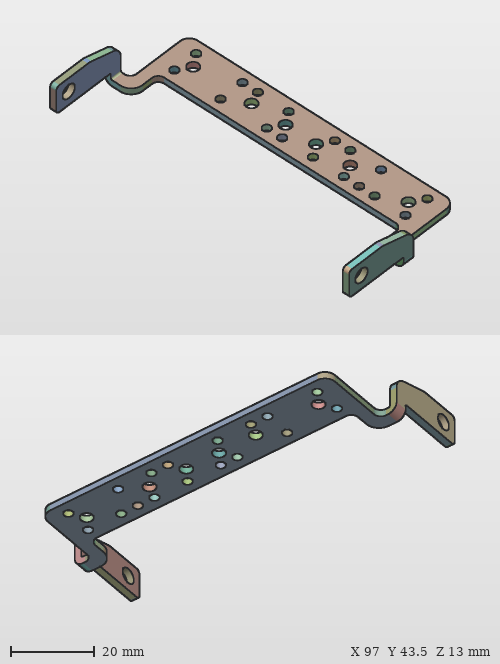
import cadquery as cq
import math

overall_width = 97.0
overall_depth = 43.5
overall_height = 13.0
thickness = 2.0

plate_width = 86.5
plate_depth = 14.9
arm_width = 3.7
foot_back = 20.5
foot_front = 24.1
back_corner_radius = 3.0
inner_corner_radius = 2.0
foot_inside_radius = 2.0
foot_outside_radius = 3.8

bend_inside_radius = 0.5
bend_outside_radius = bend_inside_radius + thickness
ear_bottom = 4.1
ear_tip_radius = 1.2
ear_notch_radius = 0.5
ear_shoulder_radius = 3.9
ear_slope = math.radians(15)
ear_knee_y = 31.5
ear_knee_radius = 4.85
ear_hole_diameter = 4.4
ear_hole_from_tip = 4.5

small_hole_diameter = 2.5
small_hole_span = 75.0
pitches_in_span = 15
small_hole_pitch = small_hole_span / pitches_in_span
small_row_offset = 3.9
back_row_steps = [-7.5, -4.5, -3.5, -1.5, 1.5, 2.5, 4.5, 7.5]
front_row_steps = [-7.5, -4.5, -1.5, -0.5, 1.5, 3.5, 4.5, 5.5, 7.5]
large_hole_diameter = 3.4
large_hole_offsets = [4.9, 16.0, 34.9]

half_width = overall_width / 2
half_plate = plate_width / 2
half_opening = half_plate - arm_width
plate_middle_y = -plate_depth / 2


def round_edges(body, direction, y, across, radius):
    """Fillet the edges parallel to X or Z at Y = y and at the given X or Z position."""
    reach = 0.05
    if direction == "Z":
        low = (across - reach, y - reach, -reach)
        high = (across + reach, y + reach, thickness + reach)
    else:
        low = (-half_width - reach, y - reach, across - reach)
        high = (-half_width + thickness + reach, y + reach, across + reach)
    return body.edges(cq.selectors.BoxSelector(low, high, boundingbox=True)).fillet(radius)


def make_plate():
    """Plate, arms and feet, with the feet reaching to the start of the bends."""
    foot_end = half_width - bend_outside_radius
    right_half = [
        (half_plate, 0),
        (half_plate, -foot_back),
        (foot_end, -foot_back),
        (foot_end, -foot_front),
        (half_opening, -foot_front),
        (half_opening, -plate_depth),
    ]
    left_half = [(-x, y) for x, y in reversed(right_half)]
    plate = cq.Workplane("XY").polyline(right_half + left_half).close().extrude(thickness)
    for side in (-1, 1):
        plate = round_edges(plate, "Z", 0, side * half_plate, back_corner_radius)
        plate = round_edges(plate, "Z", -plate_depth, side * half_opening, inner_corner_radius)
        plate = round_edges(plate, "Z", -foot_back, side * half_plate, foot_inside_radius)
        plate = round_edges(plate, "Z", -foot_front, side * half_opening, foot_outside_radius)
    return plate


def drill_plate(plate):
    """Two rows of small holes and a middle row of large holes."""
    back_row = [(n * small_hole_pitch, plate_middle_y + small_row_offset) for n in back_row_steps]
    front_row = [(n * small_hole_pitch, plate_middle_y - small_row_offset) for n in front_row_steps]
    middle_row = [(side * x, plate_middle_y) for x in large_hole_offsets for side in (-1, 1)]
    for points, diameter in ((back_row + front_row, small_hole_diameter), (middle_row, large_hole_diameter)):
        holes = cq.Workplane("XY").pushPoints(points).circle(diameter / 2).extrude(thickness)
        plate = plate.cut(holes)
    return plate


def make_bend():
    """Quarter-ring bend joining the left foot to its ear."""
    center_x = -half_width + bend_outside_radius
    center_z = bend_outside_radius
    diagonal = math.sqrt(0.5)
    outer_middle = bend_outside_radius * diagonal
    inner_middle = bend_inside_radius * diagonal
    return (
        cq.Workplane("XZ", origin=(0, -foot_back, 0))
        .moveTo(center_x, 0)
        .threePointArc((center_x - outer_middle, center_z - outer_middle), (-half_width, center_z))
        .lineTo(-half_width + thickness, center_z)
        .threePointArc((center_x - inner_middle, center_z - inner_middle), (center_x, thickness))
        .close()
        .extrude(foot_front - foot_back)
    )


def make_ear():
    """Left upright ear with sloped top edge and a hole near its tip."""
    shoulder_height = overall_height - (ear_knee_y - foot_back) * math.tan(ear_slope)
    outline = [
        (-foot_back, bend_outside_radius),
        (-foot_back, shoulder_height),
        (-ear_knee_y, overall_height),
        (-overall_depth, overall_height),
        (-overall_depth, ear_bottom),
        (-foot_front, ear_bottom),
        (-foot_front, bend_outside_radius),
    ]
    ear = cq.Workplane("YZ", origin=(-half_width, 0, 0)).polyline(outline).close().extrude(thickness)
    ear = round_edges(ear, "X", -foot_back, shoulder_height, ear_shoulder_radius)
    ear = round_edges(ear, "X", -ear_knee_y, overall_height, ear_knee_radius)
    ear = round_edges(ear, "X", -overall_depth, overall_height, ear_tip_radius)
    ear = round_edges(ear, "X", -overall_depth, ear_bottom, ear_tip_radius)
    ear = round_edges(ear, "X", -foot_front, ear_bottom, ear_notch_radius)
    hole_y = -overall_depth + ear_hole_from_tip
    hole_z = (ear_bottom + overall_height) / 2
    hole = (
        cq.Workplane("YZ", origin=(-half_width, 0, 0))
        .center(hole_y, hole_z)
        .circle(ear_hole_diameter / 2)
        .extrude(thickness)
    )
    return ear.cut(hole)


left_end = make_bend().union(make_ear())
right_end = left_end.mirror("YZ")
result = drill_plate(make_plate()).union(left_end).union(right_end)